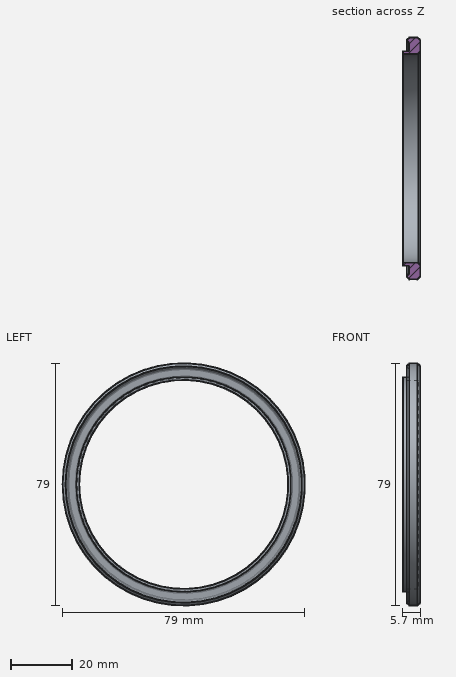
import cadquery as cq
import math

outer_radius = 79.0 / 2
bore_radius = 68.0 / 2
lip_radius = 70.0 / 2
total_width = 5.7
lip_length = 1.2
rim_chamfer = 0.95
bore_chamfer = 0.75
groove_depth = 0.75
ridge_width = 0.1
groove_fillet = 0.4

lip_face = -total_width / 2
back_face = total_width / 2
rim_face = lip_face + lip_length
groove_floor = rim_face + groove_depth

rim_edge_radius = outer_radius - rim_chamfer
ridge_radius = rim_edge_radius - ridge_width
groove_floor_radius = ridge_radius - groove_depth

wall_angle = math.radians(45)
fillet_tangent = groove_fillet * math.tan(wall_angle / 2)
fillet_start_radius = groove_floor_radius - fillet_tangent
fillet_end_x = groove_floor - fillet_tangent * math.sin(wall_angle)
fillet_end_radius = groove_floor_radius + fillet_tangent * math.cos(wall_angle)


def ring_section():
    """Half section of the ring in the XY plane, with Y as the radius."""
    return (
        cq.Workplane("XY")
        .moveTo(lip_face, bore_radius)
        .lineTo(lip_face, lip_radius)
        .lineTo(groove_floor - groove_fillet, lip_radius)
        .tangentArcPoint((groove_floor, lip_radius + groove_fillet), relative=False)
        .lineTo(groove_floor, fillet_start_radius)
        .tangentArcPoint((fillet_end_x, fillet_end_radius), relative=False)
        .lineTo(rim_face, ridge_radius)
        .lineTo(rim_face, rim_edge_radius)
        .lineTo(rim_face + rim_chamfer, outer_radius)
        .lineTo(back_face - rim_chamfer, outer_radius)
        .lineTo(back_face, rim_edge_radius)
        .lineTo(back_face, bore_radius + bore_chamfer)
        .lineTo(back_face - bore_chamfer, bore_radius)
        .close()
    )


result = ring_section().revolve(360, (0, 0, 0), (1, 0, 0))